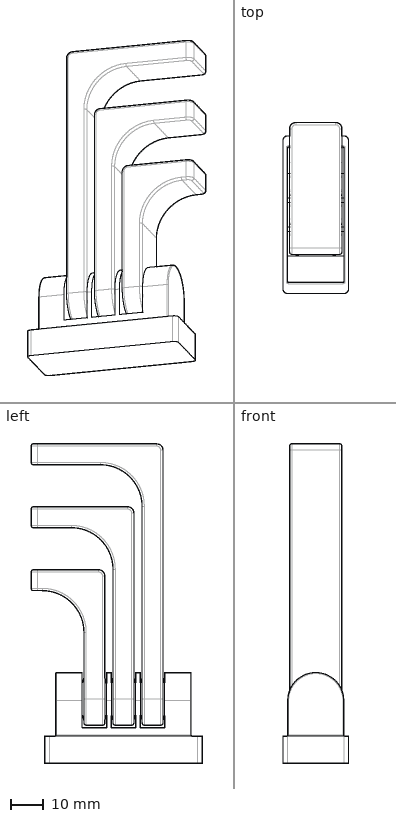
import cadquery as cq

plate_width = 20.0
plate_length = 48.0
plate_height = 8.3
plate_corner_radius = 1.5

block_width = 17.1
block_length = 41.2
block_edge_radius = 0.3
foot_fillet = 0.4
block_round_height = 19.1

arm_count = 3
arm_pitch = 8.85
slot_width = 7.4
slot_floor = 10.9

arm_width = 15.95
arm_thickness = 6.4
arm_hinge_height = 19.55
arm_edge_radius = 0.73
arm_corner_radius = 1.9
bend_radius = 12.6
tallest_arm = 97.3
arm_height_step = 19.2
overall_length = 52.1
tip_y = overall_length - plate_length / 2

boss_base_radius = 6.4
boss_end_radius = 4.9
side_gap = (slot_width - arm_thickness) / 2


def arm_center(index):
    return ((arm_count - 1) / 2 - index) * arm_pitch


def make_plate():
    plate = cq.Workplane("XY").rect(plate_width, plate_length).extrude(plate_height)
    return plate.edges("|Z").fillet(plate_corner_radius)


def make_block():
    half_width = block_width / 2
    block = (
        cq.Workplane("XZ")
        .moveTo(-half_width, plate_height)
        .lineTo(-half_width, block_round_height)
        .threePointArc((0, block_round_height + half_width), (half_width, block_round_height))
        .lineTo(half_width, plate_height)
        .close()
        .extrude(block_length / 2, both=True)
    )
    end_edges = block.faces("<Y or >Y").edges("not <Z")
    return end_edges.fillet(block_edge_radius)


def make_slot(y_center):
    slot_height = tallest_arm - slot_floor
    slot = cq.Workplane("XY").box(plate_width, slot_width, slot_height, centered=(True, True, False))
    return slot.translate((0, y_center, slot_floor))


def make_arm(y_center, top):
    back_y = y_center - arm_thickness / 2
    inner_y = y_center + arm_thickness / 2
    underside = top - arm_thickness
    bottom = arm_hinge_height - arm_width / 2
    side_bar = (
        cq.Workplane("YZ")
        .moveTo(back_y, bottom)
        .lineTo(back_y, top)
        .lineTo(tip_y, top)
        .lineTo(tip_y, underside)
        .lineTo(inner_y + bend_radius, underside)
        .radiusArc((inner_y, underside - bend_radius), -bend_radius)
        .lineTo(inner_y, bottom)
        .close()
        .extrude(arm_width / 2, both=True)
    )
    arm = side_bar.edges("|X and <Y and >Z").fillet(arm_corner_radius)
    arm = arm.faces(">Y").edges("|Z").fillet(arm_corner_radius)

    half_width = arm_width / 2
    outline = (
        cq.Workplane("XZ", origin=(0, back_y, 0))
        .moveTo(-half_width, top)
        .lineTo(-half_width, arm_hinge_height)
        .threePointArc((0, bottom), (half_width, arm_hinge_height))
        .lineTo(half_width, top)
        .close()
        .extrude(-overall_length)
    )
    return arm.intersect(outline).edges("(not |X) or >Y").fillet(arm_edge_radius)


def make_boss(y_center, direction):
    face_y = y_center + direction * arm_thickness / 2
    cone = cq.Solid.makeCone(
        boss_base_radius,
        boss_end_radius,
        side_gap,
        cq.Vector(0, face_y, arm_hinge_height),
        cq.Vector(0, direction, 0),
    )
    return cq.Workplane(cone)


def make_base():
    base = make_plate().union(make_block())

    reach_x = block_width / 2 + foot_fillet
    reach_y = block_length / 2 + foot_fillet
    foot_zone = cq.selectors.BoxSelector(
        (-reach_x, -reach_y, plate_height - foot_fillet),
        (reach_x, reach_y, plate_height + foot_fillet),
    )
    base = base.edges(foot_zone).fillet(foot_fillet)
    for index in range(arm_count):
        base = base.cut(make_slot(arm_center(index)))
    return base


result = make_base()
for index in range(arm_count):
    y_center = arm_center(index)
    steps_down = arm_count - 1 - index
    top = tallest_arm - steps_down * arm_height_step
    result = result.union(make_arm(y_center, top))
    for direction in (-1, 1):
        result = result.union(make_boss(y_center, direction))